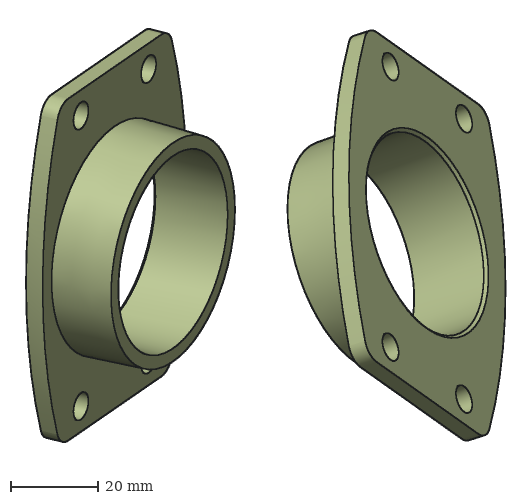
import cadquery as cq

height = 86.0
width = 64.0
plate_thickness = 4.5
side_radius = 122.55
corner_radius = 5.0

total_depth = 20.0
spigot_base_diameter = 56.1
spigot_end_diameter = 55.0
bore_diameter = 48.4
bore_chamfer = 0.8

hole_diameter = 6.6
hole_spacing_y = 30.0
hole_spacing_z = 73.1


def make_plate():
    """Flat-ended plate with bowed sides and rounded corners."""
    half_height = height / 2
    half_width = width / 2
    bow = side_radius - (side_radius**2 - half_height**2) ** 0.5
    half_end = half_width - bow
    return (
        cq.Workplane("YZ")
        .moveTo(-half_end, half_height)
        .lineTo(half_end, half_height)
        .threePointArc((half_width, 0), (half_end, -half_height))
        .lineTo(-half_end, -half_height)
        .threePointArc((-half_width, 0), (-half_end, half_height))
        .close()
        .extrude(plate_thickness)
        .edges("|X")
        .fillet(corner_radius)
    )


def make_spigot():
    """Round spigot narrowing away from the plate."""
    return (
        cq.Workplane("YZ", origin=(plate_thickness, 0, 0))
        .circle(spigot_base_diameter / 2)
        .workplane(offset=total_depth - plate_thickness)
        .circle(spigot_end_diameter / 2)
        .loft(ruled=True)
    )


def cut_bore(body):
    """Through bore with a chamfered mouth on the plate face."""
    bore_radius = bore_diameter / 2
    cutter = (
        cq.Workplane("XY")
        .moveTo(0, 0)
        .lineTo(0, bore_radius + bore_chamfer)
        .lineTo(bore_chamfer, bore_radius)
        .lineTo(total_depth, bore_radius)
        .lineTo(total_depth, 0)
        .close()
        .revolve(360, (0, 0, 0), (1, 0, 0))
    )
    return body.cut(cutter)


def cut_bolt_holes(body):
    """Four plain holes through the plate."""
    holes = (
        cq.Workplane("YZ")
        .rect(hole_spacing_y, hole_spacing_z, forConstruction=True)
        .vertices()
        .circle(hole_diameter / 2)
        .extrude(plate_thickness)
    )
    return body.cut(holes)


result = cut_bolt_holes(cut_bore(make_plate().union(make_spigot())))